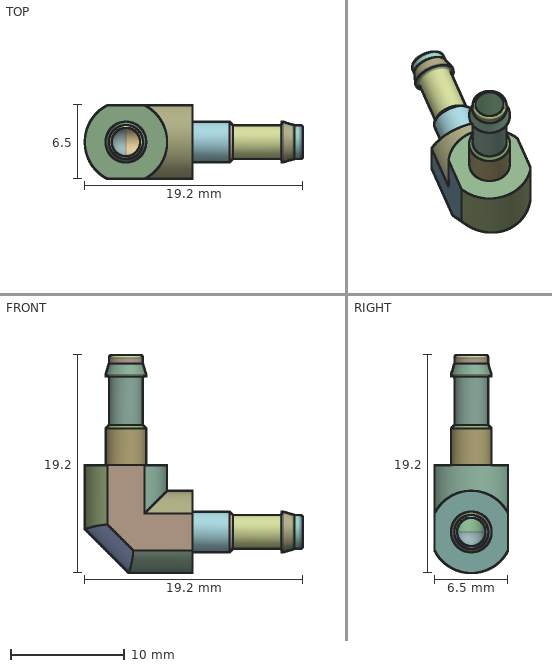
import cadquery as cq
import math

envelope = 19.24
body_diameter = 7.27
body_radius = body_diameter / 2
body_width = 6.5
body_reach = 5.89
tip = envelope - body_radius

back_distance = 2.39
back_sag = 1.7

collar_radius = 3.6 / 2
tube_radius = 3.0 / 2
bore_radius = 2.5 / 2
collar_end = 9.14
collar_chamfer = collar_radius - tube_radius
rim_round = tube_radius - bore_radius

barb_root_start = 2.0
barb_back = 1.89
barb_crest_end = 1.73
barb_cone_end = 0.87
barb_blend_end = 0.75
barb_root_fillet = barb_root_start - barb_back
barb_cone_end_radius = tube_radius + 0.04

quarter_arc = math.sqrt(0.5)


def to_x_arm(shape):
    """Copy the Z arm onto the X arm by reflecting it in the plane x = z."""
    return shape.rotate((0, 0, 0), (1, 0, 1), 180)


def body_arm():
    """Flattened cylinder along Z, mitred on the plane x = z."""
    length = body_reach + body_radius
    arm = cq.Workplane("XY").workplane(offset=-body_radius).circle(body_radius).extrude(length)
    flats = cq.Workplane("XY").box(body_diameter, body_width, envelope)
    mitre = (
        cq.Workplane("XZ")
        .polyline([(-envelope, -envelope), (envelope, envelope), (-envelope, envelope)])
        .close()
        .extrude(body_radius, both=True)
    )
    return arm.intersect(flats).intersect(mitre)


def back_limit():
    """Prism along the 45 degree back of the elbow, bounded by its convex face."""
    half_width = body_width / 2
    plane = cq.Plane(origin=(0, 0, 0), xDir=(0, 1, 0), normal=(1, 0, -1))
    return (
        cq.Workplane(plane)
        .moveTo(-half_width, envelope)
        .lineTo(-half_width, back_sag - back_distance)
        .threePointArc((0, -back_distance), (half_width, back_sag - back_distance))
        .lineTo(half_width, envelope)
        .close()
        .extrude(envelope, both=True)
    )


def spigot():
    """Stepped tube with a hose barb along Z, solid before boring."""
    root_mid_radius = tube_radius + barb_root_fillet * (1 - quarter_arc)
    root_mid_height = tip - barb_root_start + barb_root_fillet * quarter_arc
    rim_mid_radius = bore_radius + rim_round * quarter_arc
    rim_mid_height = tip - rim_round * (1 - quarter_arc)
    return (
        cq.Workplane("XZ")
        .lineTo(collar_radius, 0)
        .lineTo(collar_radius, collar_end)
        .lineTo(tube_radius, collar_end + collar_chamfer)
        .lineTo(tube_radius, tip - barb_root_start)
        .threePointArc(
            (root_mid_radius, root_mid_height),
            (tube_radius + barb_root_fillet, tip - barb_back),
        )
        .lineTo(collar_radius, tip - barb_back)
        .lineTo(collar_radius, tip - barb_crest_end)
        .lineTo(barb_cone_end_radius, tip - barb_cone_end)
        .lineTo(tube_radius, tip - barb_blend_end)
        .lineTo(tube_radius, tip - rim_round)
        .threePointArc((rim_mid_radius, rim_mid_height), (bore_radius, tip))
        .lineTo(0, tip)
        .close()
        .revolve(360, (0, 0, 0), (0, 1, 0))
    )


body = body_arm().union(to_x_arm(body_arm())).intersect(back_limit())
outside = body.union(spigot()).union(to_x_arm(spigot()))

bore = cq.Workplane("XY").circle(bore_radius).extrude(tip)
passage = cq.Workplane("XY").sphere(bore_radius).union(bore).union(to_x_arm(bore))

result = outside.cut(passage)